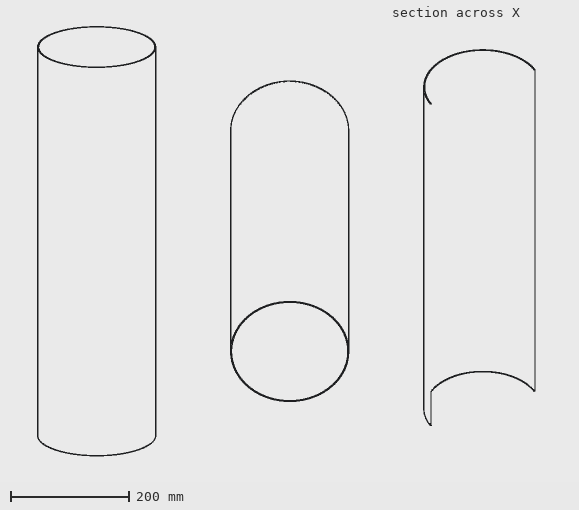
import cadquery as cq

length = 700.0
outer_diameter = 200.0
wall_thickness = 1.9

outer_radius = outer_diameter / 2
inner_radius = outer_radius - wall_thickness

result = cq.Workplane("XY").circle(outer_radius).circle(inner_radius).extrude(length)